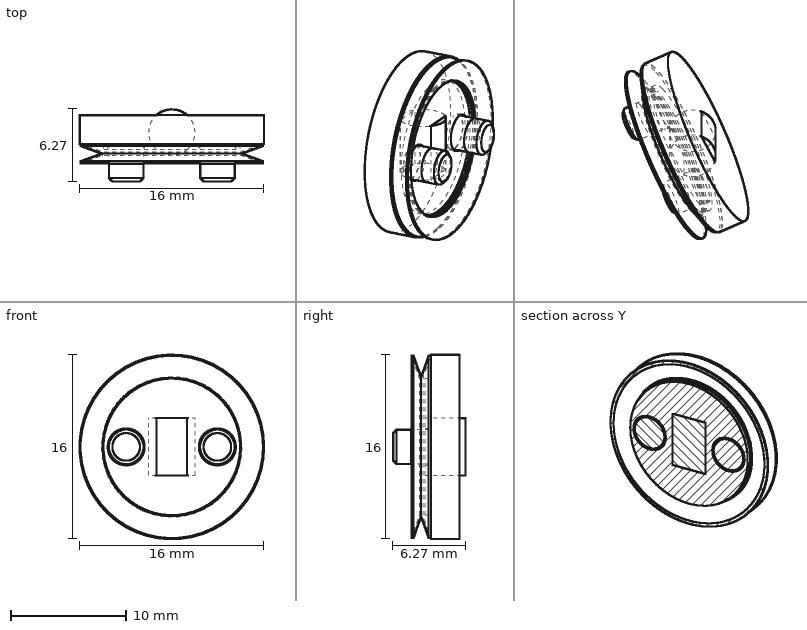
import cadquery as cq

hub_radius = 8.0
hub_thickness = 2.5
boss_radius = 5.92
boss_height = 0.5

bar_radius = 2.0
bar_length = 5.0
bar_y = (hub_thickness - boss_height) / 2

dish_rim_radius = 7.9
dish_rim_width = 0.2
dish_neck_outer_radius = 6.08
dish_neck_inner_radius = 6.0
dish_neck_width = 0.16
dish_depth = 0.85

pin_offset = 3.95
pin_positions = (-pin_offset, pin_offset)
pin_radius = 1.5
pin_tip_length = 1.52
pin_chamfer = 0.3
pin_hole_radius = 1.6
pin_hole_depth = boss_height
pin_floor_y = pin_hole_depth - boss_height
pin_joint_y = -1.75


def cylinder_along_y(radius, y_start, y_end, x=0):
    """Solid cylinder parallel to Y between two y positions."""
    return (
        cq.Workplane("XZ", origin=(x, y_start, 0))
        .circle(radius)
        .extrude(y_start - y_end)
    )


def make_bar():
    """Round cross bar that shows on both faces of the hub."""
    return (
        cq.Workplane("XY", origin=(0, bar_y, -bar_length / 2))
        .circle(bar_radius)
        .extrude(bar_length)
    )


def make_hub(bar):
    """Hub disc with its front boss and the openings for the cross bar and pins."""
    disc = cylinder_along_y(hub_radius, hub_thickness, 0)
    boss = cylinder_along_y(boss_radius, 0, -boss_height)
    hub = disc.union(boss).cut(bar)
    for x in pin_positions:
        hub = hub.cut(cylinder_along_y(pin_hole_radius, pin_floor_y, -boss_height, x))
    return hub


def make_back_dish():
    """Conical ring with its rim on the hub shoulder and its neck in front."""
    profile = [
        (dish_rim_radius, 0),
        (dish_rim_radius, -dish_rim_width),
        (dish_neck_outer_radius, -dish_depth),
        (dish_neck_inner_radius, -dish_depth),
        (dish_neck_inner_radius, -dish_depth + dish_neck_width),
    ]
    return (
        cq.Workplane("XY")
        .polyline(profile)
        .close()
        .revolve(360, (0, 0, 0), (0, 1, 0))
    )


def make_pin_base(x):
    """Rear half of a pin, standing on the floor of its hole."""
    return cylinder_along_y(pin_radius, pin_floor_y, pin_joint_y, x)


def make_pin_tip(x):
    """Front half of a pin, with a chamfered end."""
    tip = cylinder_along_y(pin_radius, pin_joint_y, pin_joint_y - pin_tip_length, x)
    return tip.faces("<Y").chamfer(pin_chamfer)


bar = make_bar()
hub = make_hub(bar)
back_dish = make_back_dish()
front_dish = back_dish.mirror("XZ", (0, -dish_depth, 0))

pin_bases = []
pin_tips = []
for x in pin_positions:
    pin_bases.append(make_pin_base(x).val())
    pin_tips.append(make_pin_tip(x).val())

result = cq.Compound.makeCompound(
    [hub.val(), bar.val(), back_dish.val(), front_dish.val(), *pin_bases, *pin_tips]
)